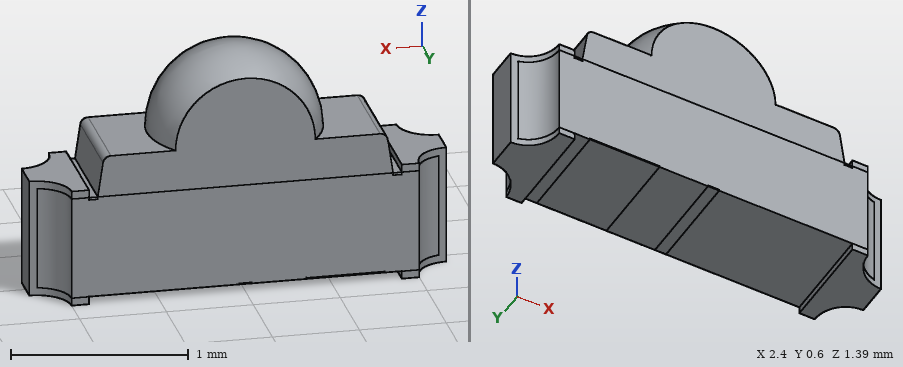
import cadquery as cq

LENGTH = 2.4
WIDTH = 0.6
HEIGHT = 1.39

PLATING = 0.045
BOARD_HEIGHT = 0.6
BOARD_BOTTOM = PLATING
BOARD_TOP = BOARD_BOTTOM + BOARD_HEIGHT
BOARD_LENGTH = LENGTH - 2 * PLATING

TERMINAL_REACH = 0.3
TERMINAL_TOP = BOARD_TOP + PLATING
NOTCH_RADIUS = WIDTH / 3

DOME_RADIUS = 0.502
SLAB_TOP = HEIGHT - DOME_RADIUS
SLAB_BASE_HALF = 0.85
SLAB_TOP_HALF = 0.814
SLAB_EDGE_RADIUS = 0.045

STRIP_DEPTH = 0.015
STRIP_OUTER_X = LENGTH / 2 - TERMINAL_REACH
STRIP_WIDTH = STRIP_OUTER_X - SLAB_BASE_HALF
STRIP_CENTRE_X = STRIP_OUTER_X - STRIP_WIDTH / 2

MARK_DEPTH = 0.007
POLARITY_MARKS = [(-0.575, 0.45), (0.0, 0.072)]


def block(length, bottom, top, centre_x=0.0):
    """Full-width box between two heights."""
    height = top - bottom
    return cq.Workplane("XY").box(length, WIDTH, height).translate((centre_x, 0, bottom + height / 2))


def corner_notches():
    """Four upright cylinders centred on the corners of the envelope."""
    corners = cq.Workplane("XY").rect(LENGTH, WIDTH, forConstruction=True).vertices()
    return corners.circle(NOTCH_RADIUS).extrude(HEIGHT)


def make_mask_strip(side):
    return block(STRIP_WIDTH, BOARD_TOP - STRIP_DEPTH, BOARD_TOP, side * STRIP_CENTRE_X)


def make_polarity_mark(centre_x, length):
    return block(length, BOARD_BOTTOM, BOARD_BOTTOM + MARK_DEPTH, centre_x)


def make_board(inlays):
    """Notched board with a matching recess for every inlay."""
    board = block(BOARD_LENGTH, BOARD_BOTTOM, BOARD_TOP).cut(corner_notches())
    for inlay in inlays:
        board = board.cut(inlay)
    return board


def make_terminal(side):
    """C-shaped cap that wraps over one end of the board."""
    centre_x = side * (LENGTH - TERMINAL_REACH) / 2
    cap = block(TERMINAL_REACH, 0, TERMINAL_TOP, centre_x)
    board_slot = block(BOARD_LENGTH, BOARD_BOTTOM, BOARD_TOP)
    return cap.cut(board_slot).cut(corner_notches())


def make_lens():
    slab = (
        cq.Workplane("XZ")
        .moveTo(-SLAB_BASE_HALF, BOARD_TOP)
        .lineTo(SLAB_BASE_HALF, BOARD_TOP)
        .lineTo(SLAB_TOP_HALF, SLAB_TOP)
        .lineTo(-SLAB_TOP_HALF, SLAB_TOP)
        .close()
        .extrude(WIDTH / 2, both=True)
    )
    slab = slab.faces(">Z").edges("|Y").fillet(SLAB_EDGE_RADIUS)
    ball = cq.Workplane("XY").sphere(DOME_RADIUS).translate((0, 0, SLAB_TOP))
    dome = ball.intersect(block(LENGTH, SLAB_TOP, HEIGHT))
    return slab.union(dome)


mask_strips = [make_mask_strip(side) for side in (-1, 1)]
polarity_marks = [make_polarity_mark(centre_x, length) for centre_x, length in POLARITY_MARKS]
board = make_board(mask_strips + polarity_marks)
terminals = [make_terminal(side) for side in (-1, 1)]
lens = make_lens()

bodies = [board, lens, *terminals, *mask_strips, *polarity_marks]
result = cq.Compound.makeCompound([body.val() for body in bodies])